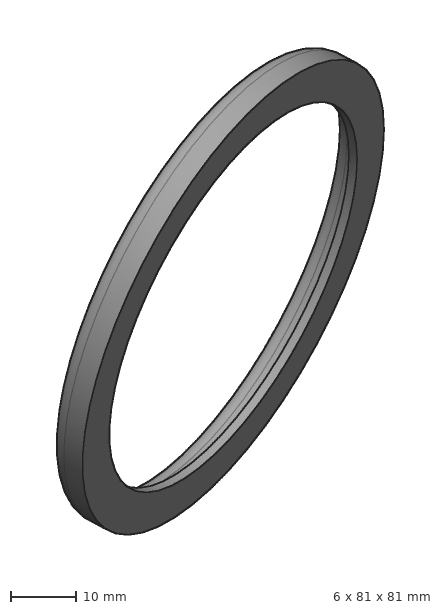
import cadquery as cq

outer_diameter = 81.0
recess_diameter = 71.0
bore_diameter = 66.5
ring_width = 6.0
lip_thickness = 1.5

outer_radius = outer_diameter / 2
recess_radius = recess_diameter / 2
bore_radius = bore_diameter / 2
rim_round = (outer_radius - recess_radius) / 2
rim_middle_radius = recess_radius + rim_round

round_start = rim_round
lip_face = ring_width - lip_thickness

section = (
    cq.Workplane("XY")
    .moveTo(ring_width, bore_radius)
    .lineTo(ring_width, outer_radius)
    .lineTo(round_start, outer_radius)
    .threePointArc((0, rim_middle_radius), (round_start, recess_radius))
    .lineTo(lip_face, recess_radius)
    .lineTo(lip_face, bore_radius)
    .close()
)

result = section.revolve(360, (0, 0, 0), (1, 0, 0))